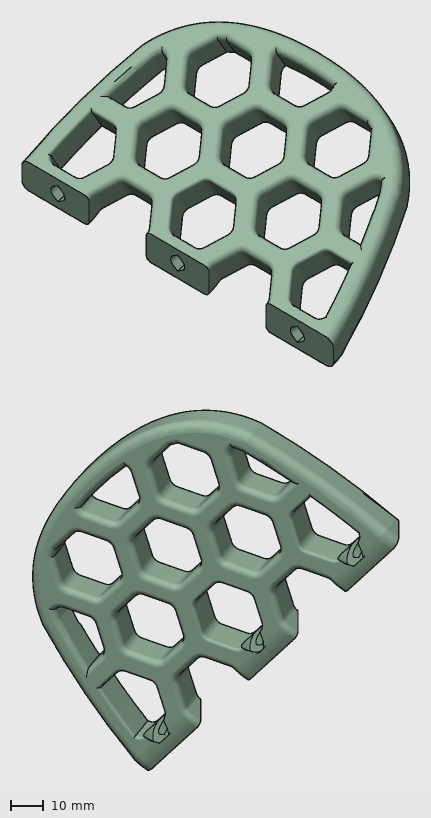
import cadquery as cq
import math

tilt = 25
thickness = 13.0
half_width = 60.7
length = 75.4
rim_fillet = 3.0

front_corner = (half_width, 0, 6.1)
side_middle = (57.1, 23.6, 11.5)
side_end = (50.3, 49.7, 21)
crown_shoulder = (37.7, 65.4, 53.7)
crown_top = (0, length, 90)

cell_pitch = 27.0
cell_across_flats = 20.0
cell_corner_radius = 3.0
cell_mouth_fillet = 2.0
screw_cell_mouth_fillet = 1.0
rim_width = 6.4
column_pitch = cell_pitch * math.cos(math.radians(30))

screw_diameter = 5.5
screw_tip = 3.6
head_diameter = 11.0
head_pocket_height = 12.4
head_seat = 4.4
head_pocket_length = 9.7
outer_screw_drop = thickness / 2
middle_screw_drop = 6.1


def outline(inset=0, skirt=0):
    """Plate outline in its own plane, moved inward by inset and carried on below the front by skirt."""
    def inward(point):
        x, u, normal = point
        angle = math.radians(normal)
        return (x - inset * math.cos(angle), u - inset * math.sin(angle))

    def mirrored(point):
        x, u = inward(point)
        return (-x, u)

    sketch = cq.Workplane("XY").moveTo(*inward(front_corner))
    sketch = (
        sketch.threePointArc(inward(side_middle), inward(side_end))
        .spline(
            [inward(crown_shoulder), inward(crown_top), mirrored(crown_shoulder), mirrored(side_end)],
            includeCurrent=True,
        )
        .threePointArc(mirrored(side_middle), mirrored(front_corner))
    )
    if skirt:
        sketch = sketch.line(0, -skirt).hLineTo(inward(front_corner)[0])
    return sketch.close()


def flared(prism, mouth_fillet):
    """Widen an opening prism towards both faces by the rounding of its mouth edges."""
    block = cq.Workplane("XY").rect(4 * half_width, 4 * length).extrude(-thickness)
    wall = block.cut(prism)
    for face in (">Z", "<Z"):
        wall = wall.newObject(wall.faces(face).val().innerWires()).edges().fillet(mouth_fillet)
    return block.cut(wall)


def cell(mouth_fillet):
    """Hexagonal cell opening with rounded corners, centred on the origin."""
    prism = (
        cq.Workplane("XY")
        .polygon(6, cell_across_flats / math.cos(math.radians(30)))
        .extrude(-thickness)
        .edges("|Z")
        .fillet(cell_corner_radius)
    )
    return flared(prism, mouth_fillet)


def hexagons(cells, mouth_fillet):
    """Whole openings for the given cells, each (column, row) in the honeycomb."""
    centres = [(column * column_pitch, row * cell_pitch) for column, row in cells]
    opening = cell(mouth_fillet).val()
    openings = cq.Workplane("XY").pushPoints(centres).eachpoint(opening.moved)
    return cq.Workplane(cq.Compound.makeCompound(openings.vals()))


def inside_rim(mouth_fillet):
    """The region the cells may open, running on past the front edge."""
    prism = outline(inset=rim_width, skirt=cell_pitch).extrude(-thickness)
    prism = prism.edges("|Z and <Y").fillet(cell_corner_radius)
    return flared(prism, mouth_fillet)


def screw_hole(x, drop):
    """Level bore with pointed top and bottom, and its head pocket, along +Y from the front face."""
    radius = screw_diameter / 2
    touch_angle = math.acos(radius / screw_tip)
    touch_x = radius * math.sin(touch_angle)
    touch_z = radius * math.cos(touch_angle)
    centre = cq.Workplane("XZ").center(x, -drop)
    bore = (
        centre.moveTo(0, screw_tip)
        .lineTo(touch_x, touch_z)
        .threePointArc((radius, 0), (touch_x, -touch_z))
        .lineTo(0, -screw_tip)
        .lineTo(-touch_x, -touch_z)
        .threePointArc((-radius, 0), (-touch_x, touch_z))
        .close()
        .extrude(-(head_seat + head_pocket_length))
    )
    pocket = centre.workplane(offset=-head_seat).slot2D(head_pocket_height, head_diameter, 90)
    return bore.union(pocket.extrude(-head_pocket_length))


plate = outline().extrude(-thickness)
plate = plate.faces("|Z").edges("not <Y").fillet(rim_fillet)

screw_cells = [(-2, 0.5), (0, 0.5), (2, 0.5)]
whole_cells = [(-1, 0), (1, 0), (-1, 1), (1, 1), (0, 1.5)]
rim_cells = [(-2, 1.5), (2, 1.5), (-1, 2), (1, 2), (0, 2.5)]
plate = plate.cut(hexagons(whole_cells, cell_mouth_fillet))
for cells, mouth_fillet in ((screw_cells, screw_cell_mouth_fillet), (rim_cells, cell_mouth_fillet)):
    plate = plate.cut(hexagons(cells, mouth_fillet).intersect(inside_rim(mouth_fillet)))

hinge = (cq.Vector(0, 0, 0), cq.Vector(-1, 0, 0))
feet = [cq.Solid.revolve(face, tilt, *hinge) for face in plate.faces("<Y").vals()]
result = plate.union(cq.Workplane(cq.Compound.makeCompound(feet)))

result = result.rotate((0, 0, 0), (1, 0, 0), tilt)
for column, drop in ((-2, outer_screw_drop), (0, middle_screw_drop), (2, outer_screw_drop)):
    result = result.cut(screw_hole(column * column_pitch, drop))